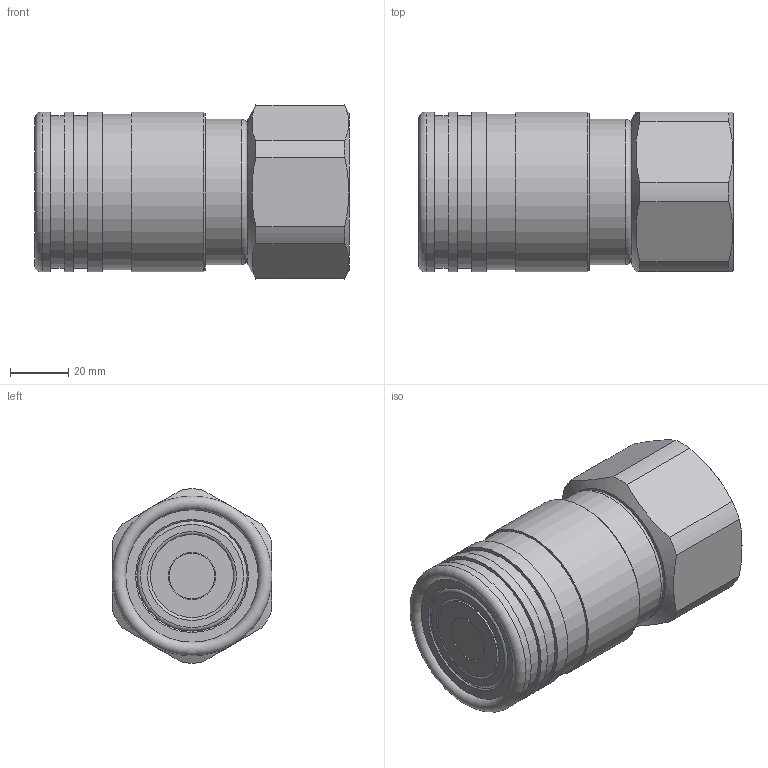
import cadquery as cq
import math


DIAGONAL = math.sqrt(0.5)

total_length = 108.37
sleeve_end = 58.8
sleeve_edge_chamfer = 0.5
hex_start = 73.3

rim_radius = 27.55
rim_roll_radius = 2.37
face_depth = 2.1

sleeve_radius = 27.5
waist_radius = 26.75
waist_start = 23.3
waist_end = 33.3
neck_radius = 25.0
neck_fillet = 2.0

grip_groove_radius = 26.3
groove_clearance = 1.0
grip_grooves = [(5.4, 10.2), (13.3, 18.2)]

hex_sides = 6
half_side_angle = 180 / hex_sides
across_flats = 55.0
corner_radius = 30.0
front_chamfer_radius = neck_radius
back_chamfer_radius = 27.2
chamfer_angle = 30
chamfer_slope = math.tan(math.radians(chamfer_angle))

bore_radius = 19.0
bore_chamfer = 0.45
lip_outer_fillet = 1.25
lip_inner_fillet = 1.0
plug_radius = 14.3
plug_face_depth = 1.95
valve_radius = 8.0
valve_groove_half_width = 0.1
valve_groove_depth = 0.4


def tube(start, end, outer, inner):
    """Ring around the X axis between two positions."""
    ring = cq.Workplane("YZ", origin=(start, 0, 0)).circle(outer)
    return ring.circle(inner).extrude(end - start)


def make_body():
    """Sleeve and neck turned about the X axis, with the details of the front face."""
    roll_center_radius = rim_radius - rim_roll_radius
    roll_mid = rim_roll_radius * DIAGONAL
    roll_drop = math.sqrt(rim_roll_radius**2 - (rim_roll_radius - face_depth) ** 2)
    face_radius = roll_center_radius - roll_drop
    valve_inner_radius = valve_radius - valve_groove_half_width
    valve_outer_radius = valve_radius + valve_groove_half_width
    lip_outer_radius = bore_radius - lip_outer_fillet
    lip_inner_radius = plug_radius + lip_inner_fillet
    outer_center_depth = face_depth + lip_outer_fillet
    inner_center_depth = face_depth + lip_inner_fillet
    outer_mid = lip_outer_fillet * DIAGONAL
    inner_mid = lip_inner_fillet * DIAGONAL
    roll_rise = rim_radius - sleeve_radius
    roll_overrun = math.sqrt(rim_roll_radius**2 - (rim_roll_radius - roll_rise) ** 2)
    roll_end = rim_roll_radius + roll_overrun
    fillet_start = hex_start - neck_fillet
    fillet_mid = neck_fillet * DIAGONAL

    profile = (
        cq.Workplane("XY")
        .moveTo(plug_face_depth, 0)
        .lineTo(plug_face_depth, valve_inner_radius)
        .lineTo(plug_face_depth + valve_groove_depth, valve_radius)
        .lineTo(plug_face_depth, valve_outer_radius)
        .lineTo(plug_face_depth, plug_radius)
        .lineTo(inner_center_depth, plug_radius)
        .threePointArc(
            (inner_center_depth - inner_mid, lip_inner_radius - inner_mid),
            (face_depth, lip_inner_radius),
        )
        .lineTo(face_depth, lip_outer_radius)
        .threePointArc(
            (outer_center_depth - outer_mid, lip_outer_radius + outer_mid),
            (outer_center_depth, bore_radius),
        )
        .lineTo(face_depth + bore_chamfer, bore_radius)
        .lineTo(face_depth, bore_radius + bore_chamfer)
        .lineTo(face_depth, face_radius)
        .threePointArc(
            (rim_roll_radius - roll_mid, roll_center_radius + roll_mid),
            (roll_end, sleeve_radius),
        )
        .lineTo(sleeve_end - sleeve_edge_chamfer, sleeve_radius)
        .lineTo(sleeve_end, sleeve_radius - sleeve_edge_chamfer)
        .lineTo(sleeve_end, neck_radius)
        .lineTo(fillet_start, neck_radius)
        .threePointArc(
            (fillet_start + fillet_mid, neck_radius - neck_fillet + fillet_mid),
            (hex_start, neck_radius - neck_fillet),
        )
        .lineTo(hex_start, 0)
        .close()
    )
    return profile.revolve(360, (0, 0, 0), (1, 0, 0))


def cut_grooves(body):
    """Grip grooves and the shallow waist around the sleeve."""
    clearance_radius = rim_radius + groove_clearance
    for start, end in grip_grooves:
        body = body.cut(tube(start, end, clearance_radius, grip_groove_radius))
    return body.cut(tube(waist_start, waist_end, clearance_radius, waist_radius))


def make_hex():
    """Hexagonal end with flats facing +Y and -Y, turned to a double-chamfered envelope."""
    across_corners = across_flats / math.cos(math.radians(half_side_angle))
    prism = (
        cq.Workplane("YZ", origin=(hex_start, 0, 0))
        .polygon(hex_sides, across_corners)
        .extrude(total_length - hex_start)
        .rotate((0, 0, 0), (1, 0, 0), half_side_angle)
    )
    front_chamfer = (corner_radius - front_chamfer_radius) * chamfer_slope
    back_chamfer = (corner_radius - back_chamfer_radius) * chamfer_slope
    envelope = (
        cq.Workplane("XY")
        .moveTo(hex_start, 0)
        .lineTo(hex_start, front_chamfer_radius)
        .lineTo(hex_start + front_chamfer, corner_radius)
        .lineTo(total_length - back_chamfer, corner_radius)
        .lineTo(total_length, back_chamfer_radius)
        .lineTo(total_length, 0)
        .close()
        .revolve(360, (0, 0, 0), (1, 0, 0))
    )
    return prism.intersect(envelope)


result = cut_grooves(make_body()).union(make_hex())